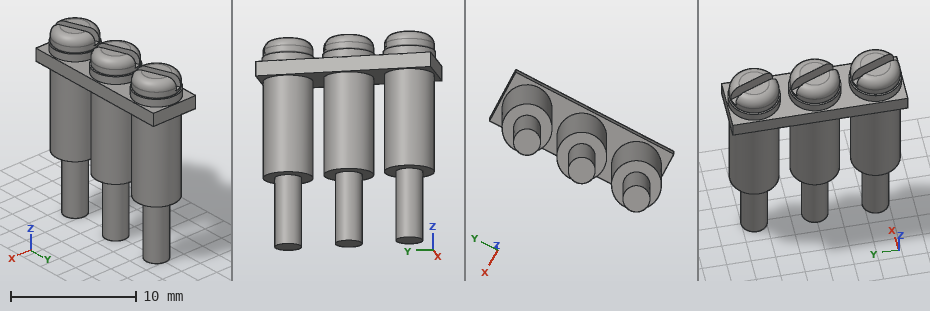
import cadquery as cq

SCREW_COUNT = 3
SCREW_PITCH = 4.95
TOTAL_HEIGHT = 17.0

BAR_WIDTH = 4.5
BAR_LENGTH = 14.3
BAR_THICKNESS = 1.2

WASHER_DIAMETER = 4.2
WASHER_HEIGHT = 0.7

HEAD_DIAMETER = 4.0
HEAD_HEIGHT = 1.4
HEAD_TOP_ROUNDING = 0.8
HEAD_BOTTOM_ROUNDING = 0.1
SHANK_DIAMETER = 2.16
SLOT_WIDTH = 0.7
SLOT_DEPTH = 1.1
SLOT_ANGLE = 21.5

SLEEVE_DIAMETER = 4.0
SLEEVE_LENGTH = 8.0

bar_bottom = -BAR_THICKNESS
sleeve_bottom = bar_bottom - SLEEVE_LENGTH
head_bottom = WASHER_HEIGHT
head_top = head_bottom + HEAD_HEIGHT
shank_length = TOTAL_HEIGHT - HEAD_HEIGHT

screw_positions = [
    (0, (index - (SCREW_COUNT - 1) / 2) * SCREW_PITCH) for index in range(SCREW_COUNT)
]


def make_bar():
    """Rectangular bar with one shank hole per screw."""
    blank = cq.Workplane("XY").workplane(offset=bar_bottom).rect(BAR_WIDTH, BAR_LENGTH).extrude(BAR_THICKNESS)
    holes = (
        cq.Workplane("XY")
        .workplane(offset=bar_bottom)
        .pushPoints(screw_positions)
        .circle(SHANK_DIAMETER / 2)
        .extrude(BAR_THICKNESS)
    )
    return blank.cut(holes)


def make_ring(position, bottom, diameter, height):
    """Round body with a hole for the screw shank."""
    return (
        cq.Workplane("XY")
        .workplane(offset=bottom)
        .center(*position)
        .circle(diameter / 2)
        .circle(SHANK_DIAMETER / 2)
        .extrude(height)
    )


def make_washer(position):
    """Plain flat washer lying on the bar."""
    return make_ring(position, 0, WASHER_DIAMETER, WASHER_HEIGHT)


def make_sleeve(position):
    """Plain spacer sleeve hanging below the bar."""
    return make_ring(position, sleeve_bottom, SLEEVE_DIAMETER, SLEEVE_LENGTH)


def make_screw(position):
    """Slotted screw with a rounded head, a softened underside and a plain shank."""
    head = (
        cq.Workplane("XY")
        .workplane(offset=head_bottom)
        .circle(HEAD_DIAMETER / 2)
        .extrude(HEAD_HEIGHT)
        .faces(">Z")
        .edges()
        .fillet(HEAD_TOP_ROUNDING)
        .faces("<Z")
        .edges()
        .fillet(HEAD_BOTTOM_ROUNDING)
    )
    slot = (
        cq.Workplane("XY")
        .workplane(offset=head_top)
        .rect(SLOT_WIDTH, 2 * HEAD_DIAMETER)
        .extrude(-SLOT_DEPTH)
        .rotate((0, 0, 0), (0, 0, 1), SLOT_ANGLE)
    )
    shank = cq.Workplane("XY").workplane(offset=head_bottom).circle(SHANK_DIAMETER / 2).extrude(-shank_length)
    return head.cut(slot).union(shank).translate((*position, 0))


bodies = [make_bar().val()]
for screw_position in screw_positions:
    bodies.append(make_screw(screw_position).val())
    bodies.append(make_washer(screw_position).val())
    bodies.append(make_sleeve(screw_position).val())

result = cq.Compound.makeCompound(bodies)